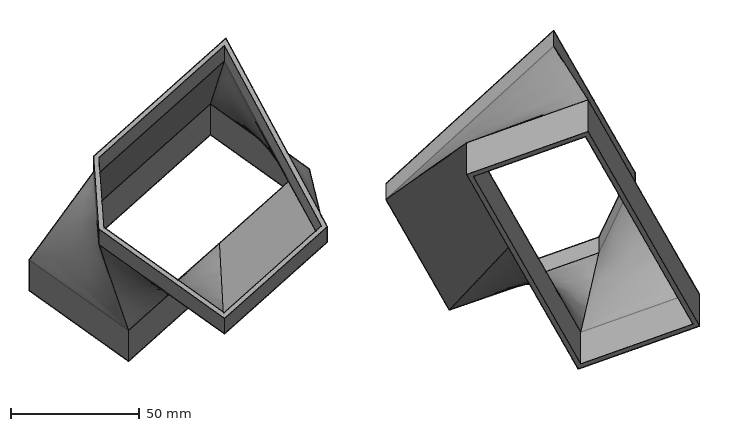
import cadquery as cq
import math

total_height = 91.75
base_height = 20.0
rim_height = 10.0
transition_top = total_height - rim_height

base_width = 52.0
base_depth = 106.0
base_wall = 2.0
base_split = 55.5

total_width = 112.25
total_depth = 117.25
rim_left = 21.25
rim_right = total_width
rim_front = base_depth - total_depth
rim_left_depth = 77.5
rim_right_depth = 60.25
corner_cut = 25.25
corner_cut_back = rim_front + corner_cut
rim_wall = 2.0

base_outline = [
    (0, base_depth),
    (base_width, base_depth),
    (base_width, base_split),
    (base_width, 0),
    (0, 0),
]
rim_outline = [
    (rim_left, corner_cut_back + rim_left_depth),
    (rim_right, rim_front + rim_right_depth),
    (rim_right, rim_front),
    (rim_left + corner_cut, rim_front),
    (rim_left, corner_cut_back),
]


def inward_normal(start, end):
    """Unit vector pointing into a clockwise outline from one of its sides."""
    dx = end[0] - start[0]
    dy = end[1] - start[1]
    length = math.hypot(dx, dy)
    return dy / length, -dx / length


def inset(outline, wall):
    """Clockwise outline with every side moved inward by the wall thickness."""
    moved = []
    for index, (x, y) in enumerate(outline):
        following = outline[(index + 1) % len(outline)]
        before = inward_normal(outline[index - 1], (x, y))
        after = inward_normal((x, y), following)
        miter = wall / (1 + before[0] * after[0] + before[1] * after[1])
        moved.append((x + miter * (before[0] + after[0]), y + miter * (before[1] + after[1])))
    return moved


def prism(outline, height, length):
    """Straight upright section starting at the given height."""
    return cq.Workplane("XY").workplane(offset=height).polyline(outline).close().extrude(length)


def transition(lower, upper):
    """Ruled solid joining the base outline to the rim outline, point to point."""
    lower_points = [cq.Vector(x, y, base_height) for x, y in lower]
    upper_points = [cq.Vector(x, y, transition_top) for x, y in upper]
    lower_wire = cq.Wire.makePolygon(lower_points, close=True)
    upper_wire = cq.Wire.makePolygon(upper_points, close=True)
    return cq.Workplane(cq.Solid.makeLoft([lower_wire, upper_wire], True))


def duct(lower, upper):
    """Filled base, transition and rim for one pair of outlines."""
    base = prism(lower, 0, base_height)
    rim = prism(upper, transition_top, rim_height)
    return base.union(transition(lower, upper)).union(rim)


body = duct(base_outline, rim_outline)
passage = duct(inset(base_outline, base_wall), inset(rim_outline, rim_wall))
result = body.cut(passage)